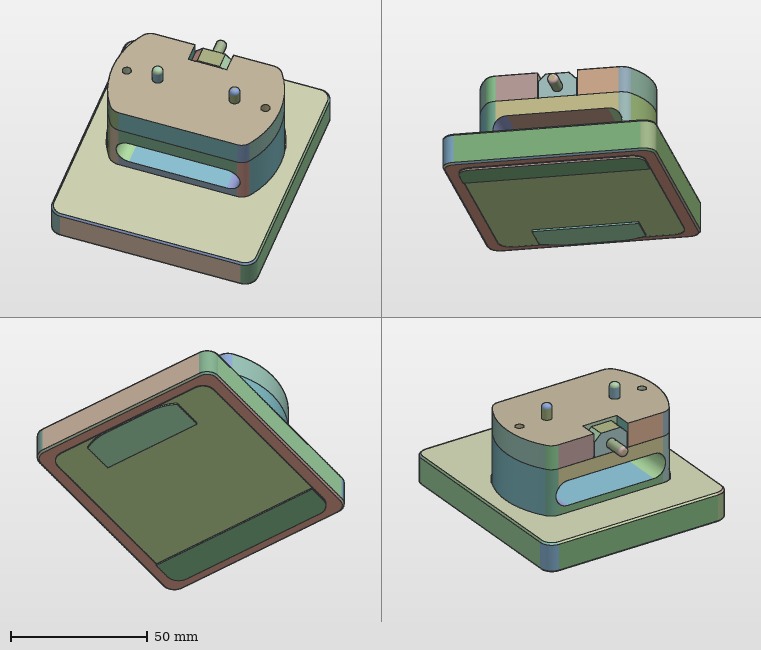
import cadquery as cq
import math

BASE_WIDTH = 80.0
BASE_LENGTH = 89.0
BASE_CORNER_RADIUS = 5.0
BASE_CHAMFER = 0.7
BASE_HEIGHT = 12.1
COVER_WIDTH = 69.95
COVER_LENGTH = 80.0
COVER_THICKNESS = 0.4
FOOT_THICKNESS = 0.7
REAR_FOOT_LENGTH = 12.3
FRONT_FOOT_LENGTH = 15.5
FRONT_FOOT_WIDTH = 40.05
FRONT_FOOT_FLAT_WIDTH = 19.9
FRONT_FOOT_CORNER_RADIUS = 19.9

HOUSING_CENTER_Y = 6.0
HOUSING_RADIUS = 32.5
HOUSING_DEPTH = 40.05
HOUSING_CORNER_RADIUS = 5.0
POCKET_CLEARANCE = 0.5
POCKET_DEPTH = 5.0
LOWER_HOUSING_RISE = 19.0
CAP_HEIGHT = 10.0

WINDOW_WIDTH = 48.2
WINDOW_HEIGHT = 10.3
WINDOW_CENTER_RISE = 7.7

PIN_DIAMETER = 4.0
PIN_TIP_RADIUS = 1.4
SIDE_PIN_TIP_RADIUS = 1.1
PIN_PROTRUSION = 5.9
PIN_SPACING = 29.9
SIDE_PIN_PROTRUSION = 9.0
SIDE_PIN_DROP = 6.05
SCREW_HOLE_DIAMETER = 3.3
SCREW_HOLE_SPACING = 53.9

NOTCH_WIDTH = 14.95
NOTCH_DEPTH = 7.4
BLOCK_WIDTH = 14.2
BLOCK_LENGTH = 6.3
BLOCK_CHAMFER = 2.8
BLOCK_TOP_DROP = 0.7

COVER_BOTTOM = FOOT_THICKNESS
BASE_BOTTOM = COVER_BOTTOM + COVER_THICKNESS
BASE_TOP = BASE_BOTTOM + BASE_HEIGHT
POCKET_FLOOR = BASE_TOP - POCKET_DEPTH
CAP_BOTTOM = BASE_TOP + LOWER_HOUSING_RISE
CAP_TOP = CAP_BOTTOM + CAP_HEIGHT
SIDE_PIN_LEVEL = CAP_TOP - SIDE_PIN_DROP

HOUSING_BACK = HOUSING_CENTER_Y + HOUSING_DEPTH / 2
NOTCH_INNER_WALL = HOUSING_BACK - NOTCH_DEPTH


def rounded_slab(width, length, height, bottom):
    """Slab centred on the Z axis with the base's corner radius."""
    slab = cq.Workplane("XY").workplane(offset=bottom).rect(width, length).extrude(height)
    return slab.edges("|Z").fillet(BASE_CORNER_RADIUS)


def housing_shape(bottom, height, growth=0.0):
    """Flattened cylinder with rounded corners, grown outwards by `growth`."""
    level = cq.Workplane("XY", origin=(0, HOUSING_CENTER_Y, bottom))
    cylinder = level.circle(HOUSING_RADIUS + growth).extrude(height)
    slab_width = 3 * HOUSING_RADIUS
    slab = level.rect(slab_width, HOUSING_DEPTH + 2 * growth).extrude(height)
    return cylinder.intersect(slab).edges("|Z").fillet(HOUSING_CORNER_RADIUS + growth)


def round_tipped_pin(length, tip_radius):
    """Pin standing on the origin along +Z, with a rounded tip."""
    pin = cq.Workplane("XY").circle(PIN_DIAMETER / 2).extrude(length)
    return pin.faces(">Z").edges().fillet(tip_radius)


def make_base():
    base = rounded_slab(BASE_WIDTH, BASE_LENGTH, BASE_HEIGHT, BASE_BOTTOM)
    base = base.faces("<Z or >Z").edges().chamfer(BASE_CHAMFER)
    return base.cut(housing_shape(POCKET_FLOOR, POCKET_DEPTH, POCKET_CLEARANCE))


def make_cover_plate():
    return rounded_slab(COVER_WIDTH, COVER_LENGTH, COVER_THICKNESS, COVER_BOTTOM)


def make_rear_foot():
    """Strip across the back edge of the cover plate, sharing its rounded corners."""
    strip_center = (0, (COVER_LENGTH - REAR_FOOT_LENGTH) / 2, 0)
    strip = cq.Workplane("XY", origin=strip_center).rect(COVER_WIDTH, REAR_FOOT_LENGTH)
    foot = strip.extrude(FOOT_THICKNESS)
    return foot.edges("|Z and >Y").fillet(BASE_CORNER_RADIUS)


def make_front_foot():
    """Pad at the front edge, with arcs that leave the flat front edge tangentially."""
    front = -COVER_LENGTH / 2
    back = front + FRONT_FOOT_LENGTH
    half_width = FRONT_FOOT_WIDTH / 2
    half_flat = FRONT_FOOT_FLAT_WIDTH / 2
    radius = FRONT_FOOT_CORNER_RADIUS
    sweep = math.asin((half_width - half_flat) / radius)
    arc_end = front + radius * (1 - math.cos(sweep))
    arc_middle_x = half_flat + radius * math.sin(sweep / 2)
    arc_middle_y = front + radius * (1 - math.cos(sweep / 2))
    outline = (
        cq.Workplane("XY")
        .moveTo(-half_flat, front)
        .lineTo(half_flat, front)
        .threePointArc((arc_middle_x, arc_middle_y), (half_width, arc_end))
        .lineTo(half_width, back)
        .lineTo(-half_width, back)
        .lineTo(-half_width, arc_end)
        .threePointArc((-arc_middle_x, arc_middle_y), (-half_flat, front))
        .close()
    )
    return outline.extrude(FOOT_THICKNESS)


def make_lower_housing():
    housing = housing_shape(POCKET_FLOOR, CAP_BOTTOM - POCKET_FLOOR)
    window_center = (0, HOUSING_CENTER_Y, BASE_TOP + WINDOW_CENTER_RISE)
    window = (
        cq.Workplane("XZ", origin=window_center)
        .slot2D(WINDOW_WIDTH, WINDOW_HEIGHT)
        .extrude(HOUSING_DEPTH, both=True)
    )
    return housing.cut(window)


def make_cap():
    cap = housing_shape(CAP_BOTTOM, CAP_HEIGHT)
    notch = (
        cq.Workplane("XY", origin=(0, HOUSING_BACK, CAP_BOTTOM))
        .rect(NOTCH_WIDTH, 2 * NOTCH_DEPTH)
        .extrude(CAP_HEIGHT)
    )
    bottom = cq.Workplane("XY", origin=(0, HOUSING_CENTER_Y, CAP_BOTTOM))
    pin_holes = (
        bottom.rarray(PIN_SPACING, 0.9, 2, 1).circle(PIN_DIAMETER / 2).extrude(CAP_HEIGHT)
    )
    screw_holes = (
        bottom.rarray(SCREW_HOLE_SPACING, 0.9, 2, 1)
        .circle(SCREW_HOLE_DIAMETER / 2)
        .extrude(CAP_HEIGHT)
    )
    return cap.cut(notch).cut(pin_holes).cut(screw_holes)


def make_block():
    """Block with chamfered upper corners, flush with the housing's back and bored for the side pin."""
    block = (
        cq.Workplane("XY", origin=(0, HOUSING_BACK - BLOCK_LENGTH / 2, CAP_BOTTOM))
        .rect(BLOCK_WIDTH, BLOCK_LENGTH)
        .extrude(CAP_HEIGHT - BLOCK_TOP_DROP)
    )
    block = block.edges("|Y and >Z").chamfer(BLOCK_CHAMFER)
    bore = (
        cq.Workplane("XZ", origin=(0, HOUSING_BACK, SIDE_PIN_LEVEL))
        .circle(PIN_DIAMETER / 2)
        .extrude(BLOCK_LENGTH)
    )
    return block.cut(bore)


def make_top_pin(x):
    pin = round_tipped_pin(CAP_HEIGHT + PIN_PROTRUSION, PIN_TIP_RADIUS)
    return pin.translate((x, HOUSING_CENTER_Y, CAP_BOTTOM))


def make_side_pin():
    """Pin that runs from the notch's inner wall through the block and out of the back."""
    pin = round_tipped_pin(NOTCH_DEPTH + SIDE_PIN_PROTRUSION, SIDE_PIN_TIP_RADIUS)
    pin = pin.rotate((0, 0, 0), (1, 0, 0), -90)
    return pin.translate((0, NOTCH_INNER_WALL, SIDE_PIN_LEVEL))


base = make_base()
cover_plate = make_cover_plate()
rear_foot = make_rear_foot()
front_foot = make_front_foot()
lower_housing = make_lower_housing()
cap = make_cap()
block = make_block()
side_pin = make_side_pin()
top_pins = [make_top_pin(side * PIN_SPACING / 2) for side in (-1, 1)]

result = cq.Compound.makeCompound(
    [
        base.val(),
        cover_plate.val(),
        rear_foot.val(),
        front_foot.val(),
        lower_housing.val(),
        cap.val(),
        block.val(),
        side_pin.val(),
        *[pin.val() for pin in top_pins],
    ]
)